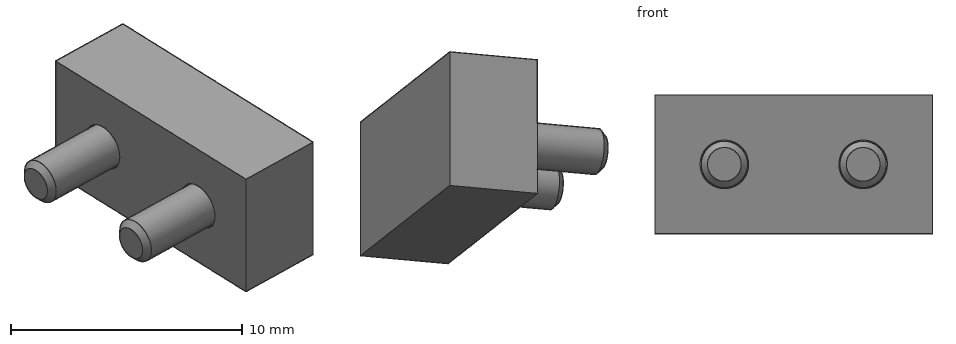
import cadquery as cq

block_length = 12.0
block_depth = 4.0
block_height = 6.0

pin_spacing = block_length / 2
pin_diameter = 2.0
pin_projection = 4.0
pin_chamfer = 0.27

hole_diameter = 2.1
hole_depth = block_depth / 2

pin_length = pin_projection + hole_depth
pin_positions = [-pin_spacing / 2, pin_spacing / 2]


def cylinder_along_y(diameter, length, x, y_start):
    """Cylinder at Z = 0 that starts at y_start and runs toward +Y."""
    plane = cq.Plane(origin=(x, y_start, 0), xDir=(0, 0, 1), normal=(0, 1, 0))
    return cq.Workplane(plane).circle(diameter / 2).extrude(length)


def make_block():
    """Plain block with one blind hole per pin in its front face."""
    block = cq.Workplane("XY").box(block_length, block_depth, block_height)
    block = block.translate((0, block_depth / 2, 0))
    for x in pin_positions:
        block = block.cut(cylinder_along_y(hole_diameter, hole_depth, x, 0))
    return block


def make_pin(x):
    """Round pin seated on the floor of its hole, chamfered at its free end."""
    pin = cylinder_along_y(pin_diameter, pin_length, x, -pin_projection)
    return pin.faces("<Y").chamfer(pin_chamfer)


block = make_block()
pins = [make_pin(x) for x in pin_positions]

result = cq.Compound.makeCompound([block.val(), *[pin.val() for pin in pins]])